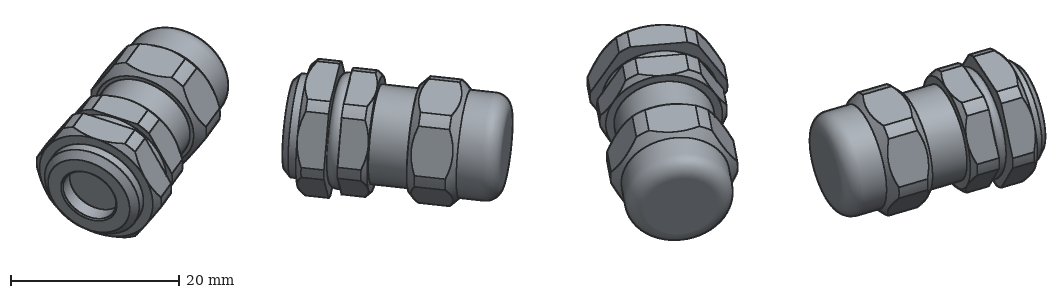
import cadquery as cq
import math


locknut_start = 2.0
ring_start = 5.5
body_hex_start = 7.0
neck_start = 10.5
cap_hex_start = 15.17
dome_start = 21.16
total_length = 26.15

locknut_flats = 15.0
locknut_corners = 16.48
hex_flats = 14.0
hex_corners = 15.25

thread_diameter = 12.5
thread_tip_diameter = 10.8
ring_diameter = hex_flats
ring_section_radius = 1.0
ring_seat_diameter = 11.5
neck_diameter = 12.0
dome_diameter = 13.0
dome_rounding = 2.01

bore_diameter = 7.0
bore_chamfer = 0.18
bore_depth = 2.0


def along_y(start):
    """Workplane at Y = start whose extrusions run toward +Y."""
    return cq.Workplane(cq.Plane(origin=(0, start, 0), xDir=(1, 0, 0), normal=(0, 1, 0)))


def cylinder(start, end, diameter):
    return along_y(start).circle(diameter / 2).extrude(end - start)


def hexagon(start, end, flats, corners, front_face=None, back_face=None):
    """Hexagon with turned corners; a face diameter gives that end a 45 degree cone."""
    prism = along_y(start).polygon(6, flats / math.cos(math.pi / 6)).extrude(end - start)
    turned = cylinder(start, end, corners)
    if front_face:
        turned = turned.faces("<Y").chamfer((corners - front_face) / 2)
    if back_face:
        turned = turned.faces(">Y").chamfer((corners - back_face) / 2)
    return prism.intersect(turned)


thread = cylinder(0, locknut_start, thread_diameter)
thread = thread.faces("<Y").chamfer((thread_diameter - thread_tip_diameter) / 2)

locknut = hexagon(locknut_start, ring_start, locknut_flats, locknut_corners, front_face=locknut_flats)

ring_seat = cylinder(ring_start, body_hex_start, ring_seat_diameter)
sealing_ring = (
    cq.Workplane("XY")
    .moveTo(ring_diameter / 2 - ring_section_radius, ring_start + ring_section_radius)
    .circle(ring_section_radius)
    .revolve(360, (0, 0), (0, 1))
)

body_hex = hexagon(body_hex_start, neck_start, hex_flats, hex_corners, back_face=hex_flats)

neck = cylinder(neck_start, cap_hex_start, neck_diameter)

cap_hex = hexagon(cap_hex_start, dome_start, hex_flats, hex_corners, dome_diameter, dome_diameter)

dome = cylinder(dome_start, total_length, dome_diameter).faces(">Y").edges().fillet(dome_rounding)

bore = cylinder(0, bore_depth, bore_diameter)

result = thread
for section in (locknut, ring_seat, sealing_ring, body_hex, neck, cap_hex, dome):
    result = result.union(section)
result = result.cut(bore)
result = result.faces("<Y").edges(cq.selectors.RadiusNthSelector(0)).chamfer(bore_chamfer)